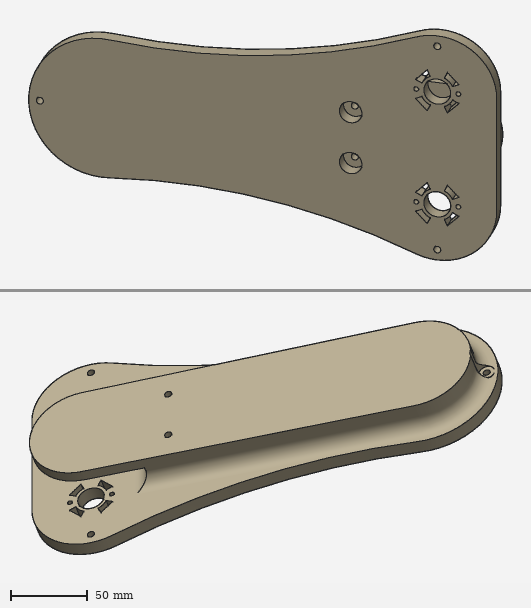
import cadquery as cq
import math

LENGTH = 316.0
HEIGHT = 161.5
THICKNESS = 31.0

PLATE_THICKNESS = 10.0
HEEL_RADIUS = 50.0
TOE_RADIUS = 40.0
WAIST_RADIUS = 448.8
TOE_X = LENGTH - HEEL_RADIUS - TOE_RADIUS
TOE_Z = HEIGHT / 2 - TOE_RADIUS

BODY_HEEL_RADIUS = 37.5
BODY_TOE_RADIUS = 35.7
TONGUE_THICKNESS = 8.0
WEB_END_X = 186.0
FILLET_RADIUS = 9.8

PIN_DIAMETER = 4.7
PIN_INSET = 7.5
HEAD_CLEARANCE_DIAMETER = 10.7

BOLT_X = 167.5
BOLT_Z = 18.3
BOLT_DIAMETER = 4.7
BOLT_HEAD_DIAMETER = 15.2
BOLT_HEAD_DEPTH = 10.0

BORE_DIAMETER = 18.0
SCREW_DIAMETER = 3.2
SCREW_OFFSET = 14.2
SLOT_INNER_RADIUS = 11.5
SLOT_OUTER_DISTANCE = 15.2
SLOT_HALF_ANGLE = math.radians(20)


def sketch_plane(y):
    """XZ sketch at the given Y, whose extrusions run toward +Y."""
    return cq.Workplane(cq.Plane(origin=(0, y, 0), xDir=(1, 0, 0), normal=(0, -1, 0)))


def extrude_back(sketch, depth):
    return sketch.extrude(-depth)


def cylinder(x, z, diameter, y_start, y_end):
    return extrude_back(sketch_plane(y_start).center(x, z).circle(diameter / 2), y_end - y_start)


def polar(radius, angle):
    return (radius * math.cos(angle), radius * math.sin(angle))


def mirrored(point):
    return (point[0], -point[1])


def waist_center():
    """Centre of the upper waist arc, which touches the heel and toe circles from outside."""
    to_heel = WAIST_RADIUS + HEEL_RADIUS
    to_toe = WAIST_RADIUS + TOE_RADIUS
    span = math.hypot(TOE_X, TOE_Z)
    along = (to_heel**2 - to_toe**2 + span**2) / (2 * span)
    return polar(to_heel, math.atan2(TOE_Z, TOE_X) + math.acos(along / to_heel))


def make_plate():
    center_x, center_z = waist_center()
    heel_angle = math.atan2(center_z, center_x)
    heel_end = polar(HEEL_RADIUS, heel_angle)
    toe_angle = math.atan2(center_z - TOE_Z, center_x - TOE_X)
    toe_dx, toe_dz = polar(TOE_RADIUS, toe_angle)
    toe_start = (TOE_X + toe_dx, TOE_Z + toe_dz)
    waist_low = (center_x, center_z - WAIST_RADIUS)
    mid_dx, mid_dz = polar(TOE_RADIUS, toe_angle / 2)
    toe_mid = (TOE_X + mid_dx, TOE_Z + mid_dz)
    toe_end = (TOE_X + TOE_RADIUS, TOE_Z)
    outline = (
        sketch_plane(0)
        .moveTo(*heel_end)
        .threePointArc(waist_low, toe_start)
        .threePointArc(toe_mid, toe_end)
        .lineTo(*mirrored(toe_end))
        .threePointArc(mirrored(toe_mid), mirrored(toe_start))
        .threePointArc(mirrored(waist_low), mirrored(heel_end))
        .threePointArc((-HEEL_RADIUS, 0), heel_end)
        .close()
    )
    return extrude_back(outline, PLATE_THICKNESS)


def make_body():
    """Tapered body on the plate, undercut at the toe end so that only a tongue remains there."""
    tangent_angle = math.acos((BODY_HEEL_RADIUS - BODY_TOE_RADIUS) / TOE_X)
    heel_end = polar(BODY_HEEL_RADIUS, tangent_angle)
    toe_dx, toe_dz = polar(BODY_TOE_RADIUS, tangent_angle)
    toe_start = (TOE_X + toe_dx, toe_dz)
    outline = (
        sketch_plane(PLATE_THICKNESS)
        .moveTo(*heel_end)
        .lineTo(*toe_start)
        .threePointArc((TOE_X + BODY_TOE_RADIUS, 0), mirrored(toe_start))
        .lineTo(*mirrored(heel_end))
        .threePointArc((-BODY_HEEL_RADIUS, 0), heel_end)
        .close()
    )
    body = extrude_back(outline, THICKNESS - PLATE_THICKNESS)
    gap = cq.Workplane("XY").box(
        LENGTH, THICKNESS - TONGUE_THICKNESS - PLATE_THICKNESS, HEIGHT, centered=(False, False, True)
    )
    return body.cut(gap.translate((WEB_END_X, PLATE_THICKNESS, 0)))


def body_foot_selector():
    """Selector for the edges where the body meets the plate."""
    margin = 0.3
    return cq.selectors.BoxSelector(
        (-BODY_HEEL_RADIUS - margin, PLATE_THICKNESS - margin, -BODY_HEEL_RADIUS - margin),
        (WEB_END_X + margin, PLATE_THICKNESS + margin, BODY_HEEL_RADIUS + margin),
        boundingbox=True,
    )


def make_slot(x, z, angle):
    """Slot with a round inner edge, radial sides and a flat outer edge."""
    inner_a = polar(SLOT_INNER_RADIUS, -SLOT_HALF_ANGLE)
    outer_a = (SLOT_OUTER_DISTANCE, -SLOT_OUTER_DISTANCE * math.tan(SLOT_HALF_ANGLE))
    outline = (
        sketch_plane(0)
        .center(x, z)
        .transformed(rotate=(0, 0, angle))
        .moveTo(*inner_a)
        .lineTo(*outer_a)
        .lineTo(*mirrored(outer_a))
        .lineTo(*mirrored(inner_a))
        .threePointArc((SLOT_INNER_RADIUS, 0), inner_a)
        .close()
    )
    return extrude_back(outline, PLATE_THICKNESS)


def cut_connector(part, z):
    part = part.cut(cylinder(TOE_X, z, BORE_DIAMETER, 0, PLATE_THICKNESS))
    for side in (-1, 1):
        part = part.cut(cylinder(TOE_X + side * SCREW_OFFSET, z, SCREW_DIAMETER, 0, PLATE_THICKNESS))
    for angle in (45, 135, 225, 315):
        part = part.cut(make_slot(TOE_X, z, angle))
    return part


def cut_pin_holes(part):
    heel_pin_x = PIN_INSET - HEEL_RADIUS
    toe_pin_z = HEIGHT / 2 - PIN_INSET
    for x, z in ((heel_pin_x, 0), (TOE_X, toe_pin_z), (TOE_X, -toe_pin_z)):
        part = part.cut(cylinder(x, z, PIN_DIAMETER, 0, PLATE_THICKNESS))
    return part.cut(cylinder(heel_pin_x, 0, HEAD_CLEARANCE_DIAMETER, PLATE_THICKNESS, THICKNESS))


def cut_bolt_holes(part):
    for z in (-BOLT_Z, BOLT_Z):
        part = part.cut(cylinder(BOLT_X, z, BOLT_DIAMETER, 0, THICKNESS))
        part = part.cut(cylinder(BOLT_X, z, BOLT_HEAD_DIAMETER, 0, BOLT_HEAD_DEPTH))
    return part


result = make_plate().union(make_body())
result = result.edges(body_foot_selector()).fillet(FILLET_RADIUS)
result = cut_pin_holes(result)
result = cut_bolt_holes(result)
for connector_z in (-TOE_Z, TOE_Z):
    result = cut_connector(result, connector_z)